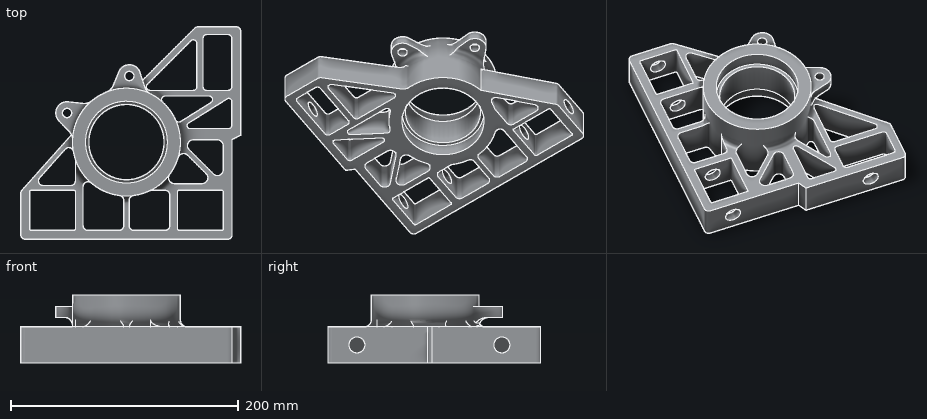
import cadquery as cq
import math

hub_height = 60.0
hub_radius = 47.5
bore_radius = 33.0
seat_radius = 36.0
seat_depth = 14.0

plate_height = 32.0
half_width = 93.0
arm_right = 100.55
base_y = -85.5
total_depth = 187.0
wall = 8.0
outer_corner_radius = 4.0
step_low_y = 2.2
step_high_y = 6.0
left_corner_y = -43.4
left_slope_end = (-46.8, 8.3)
left_slope_wall = 4.5
arm_slope_offset = 40.2
arm_root_radius = 8.0

pocket_radius = 4.0
square_pocket_radius = 1.0
corner_pocket_radius = 5.0
square_length = 40.0
square_depth = 35.0
centre_rib = 5.0
inner_pocket_x = 38.0
left_inner_top_y = -35.0
left_triangle_floor_y = -38.1
right_triangle_floor_y = -36.4
right_triangle_sum = 42.2
corner_rib = 4.5
corner_triangle_top_y = 1.9

arm_pocket_radius = 3.0
fan_tip_radius = 2.5
arm_wall_x = 92.5
arm_floor_y = 45.6
arm_rect_left_x = 67.5
arm_rect_top_y = 94.5
arm_triangle_right_x = 61.8
arm_triangle_offset = 32.3
fan_top_y = 40.4
fan_floor_y = 12.0
fan_tip_x = 47.2
fan_rib_gap = 9.4

web_blend_radius = 6.0
lug_bottom = 40.0
lug_top = 50.0
lug_distance = 58.2
lug_radius = 10.0
lug_hole_radius = 4.0
lug_half_taper = 20.0
lug_flare_radius = 10.0
lug_angles = (87.5, 153.9)

cross_hole_radius = 7.0
cross_hole_z = plate_height / 2
lower_hole_y = -60.0
arm_hole_y = 67.5

arm_top = base_y + total_depth
square_outer_x = half_width - wall
square_inner_x = square_outer_x - square_length
pocket_floor_y = base_y + wall
square_top_y = pocket_floor_y + square_depth
corner_triangle_sum = right_triangle_sum + corner_rib * math.sqrt(2)
mid_plate_z = plate_height / 2


def cylinder(radius, z0, z1):
    return cq.Workplane("XY", origin=(0, 0, z0)).circle(radius).extrude(z1 - z0)


def prism(points):
    return cq.Workplane("XY").polyline(points).close().extrude(plate_height)


def rectangle(x0, y0, x1, y1):
    return [(x0, y0), (x1, y0), (x1, y1), (x0, y1)]


def hub_half_chord(offset):
    """Half length of the hub's chord at the given distance from its axis."""
    return math.sqrt(hub_radius**2 - offset**2)


def round_upright_edge(body, point, radius):
    nearest = cq.NearestToPointSelector((*point, mid_plate_z))
    return body.edges("|Z").edges(nearest).fillet(radius)


def rounded_prism(points, radius):
    return prism(points).edges("|Z").fillet(radius)


def hub_pocket(points, radius, sharp_point=None):
    """Pocket bounded by the hub, with every upright edge rounded except the one at sharp_point."""
    cutter = prism(points).cut(cylinder(hub_radius, 0, hub_height))
    edges = cq.ParallelDirSelector(cq.Vector(0, 0, 1))
    if sharp_point:
        edges = edges - cq.NearestToPointSelector((*sharp_point, mid_plate_z))
    return cutter.edges(edges).fillet(radius)


def solid_frame():
    lower_left = (-half_width, base_y)
    lower_right = (half_width, base_y)
    upper_right = (arm_right, arm_top)
    upper_left = (arm_top - arm_slope_offset, arm_top)
    left_corner = (-half_width, left_corner_y)
    frame = prism([
        lower_left,
        lower_right,
        (half_width, step_low_y),
        (arm_right, step_high_y),
        upper_right,
        upper_left,
        (0, arm_slope_offset),
        left_slope_end,
        left_corner,
    ])
    for corner in (lower_left, lower_right, upper_right, upper_left, left_corner):
        frame = round_upright_edge(frame, corner, outer_corner_radius)

    frame = frame.union(cylinder(hub_radius, 0, plate_height))
    axis_to_face = arm_slope_offset / math.sqrt(2)
    arm_root_x = (hub_half_chord(axis_to_face) - axis_to_face) / math.sqrt(2)
    return round_upright_edge(frame, (arm_root_x, arm_root_x + arm_slope_offset), arm_root_radius)


def square_pockets():
    return [
        rounded_prism(
            rectangle(side * square_inner_x, pocket_floor_y, side * square_outer_x, square_top_y),
            square_pocket_radius,
        )
        for side in (-1, 1)
    ]


def inner_pockets():
    """Pockets on either side of the centre rib."""
    left = hub_pocket(
        rectangle(-inner_pocket_x, pocket_floor_y, -centre_rib / 2, left_inner_top_y),
        pocket_radius,
    )
    right = hub_pocket(
        rectangle(centre_rib / 2, pocket_floor_y, inner_pocket_x, square_top_y),
        pocket_radius,
        (hub_half_chord(square_top_y), square_top_y),
    )
    return [left, right]


def left_triangle_pocket():
    slope = math.atan2(left_slope_end[1] - left_corner_y, left_slope_end[0] + half_width)
    inner_corner_y = left_corner_y - left_slope_wall / math.cos(slope)
    right_x = -square_inner_x
    tip_x = -half_width + (left_triangle_floor_y - inner_corner_y) / math.tan(slope)
    top_y = inner_corner_y + (right_x + half_width) * math.tan(slope)
    return hub_pocket(
        [(tip_x, left_triangle_floor_y), (right_x, left_triangle_floor_y), (right_x, top_y)],
        pocket_radius,
        (right_x, -hub_half_chord(right_x)),
    )


def right_triangle_pockets():
    """Triangles below and above the 45 degree rib in the lower right corner."""
    below = hub_pocket(
        [
            (0, right_triangle_floor_y),
            (right_triangle_sum - right_triangle_floor_y, right_triangle_floor_y),
            (right_triangle_sum, 0),
            (0, 0),
        ],
        corner_pocket_radius,
    )
    above = rounded_prism(
        [
            (corner_triangle_sum - corner_triangle_top_y, corner_triangle_top_y),
            (square_outer_x, corner_triangle_top_y),
            (square_outer_x, corner_triangle_sum - square_outer_x),
        ],
        corner_pocket_radius,
    )
    return [below, above]


def arm_pockets():
    rectangular = rounded_prism(
        rectangle(arm_rect_left_x, arm_floor_y, arm_wall_x, arm_rect_top_y), arm_pocket_radius
    )
    triangle = rounded_prism(
        [
            (arm_floor_y - arm_triangle_offset, arm_floor_y),
            (arm_triangle_right_x, arm_floor_y),
            (arm_triangle_right_x, arm_triangle_right_x + arm_triangle_offset),
        ],
        arm_pocket_radius,
    )
    return [rectangular, triangle]


def fan_pockets():
    """Pockets below and above the slanted fan rib."""
    below = rounded_prism(
        [(fan_tip_x, fan_floor_y), (arm_wall_x, fan_floor_y), (arm_wall_x, fan_top_y)], fan_tip_radius
    )
    above = hub_pocket(
        [
            (0, fan_top_y),
            (0, fan_floor_y),
            (fan_tip_x - fan_rib_gap, fan_floor_y),
            (arm_wall_x - fan_rib_gap, fan_top_y),
        ],
        arm_pocket_radius,
    )
    return [below, above]


def concave_ring(radius, wide_z, narrow_z):
    """Ring around the bore whose quarter-round concave side narrows down to the hub radius."""
    bend = radius * (1 - math.sqrt(0.5))
    bend_z = wide_z + (narrow_z - wide_z) / radius * bend
    return (
        cq.Workplane("XZ")
        .moveTo(bore_radius, wide_z)
        .lineTo(hub_radius + radius, wide_z)
        .threePointArc((hub_radius + bend, bend_z), (hub_radius, narrow_z))
        .lineTo(bore_radius, narrow_z)
        .close()
        .revolve(360, (0, 0), (0, 1))
    )


def web_blends(frame):
    """Blends standing on the ribs around the hub; the left slanted wall meets the hub without one."""
    ring = concave_ring(web_blend_radius, plate_height, plate_height + web_blend_radius)
    blends = ring.intersect(frame.translate((0, 0, plate_height)))
    triangle_hub_y = -hub_half_chord(square_inner_x)
    plain_zone = (
        cq.Workplane("XY", origin=(0, 0, plate_height))
        .polyline(rectangle(-half_width, triangle_hub_y, -hub_radius / 2, arm_slope_offset))
        .close()
        .extrude(plate_height)
    )
    return blends.cut(plain_zone)


def lug(angle):
    """Tapered ear flaring into the hub, with a concave underside below it."""
    taper = math.radians(lug_half_taper)
    tangent_x = lug_distance + lug_radius * math.sin(taper)
    tangent_y = lug_radius * math.cos(taper)
    root_y = tangent_y + tangent_x * math.tan(taper)
    ear = (
        cq.Workplane("XY", origin=(0, 0, plate_height))
        .moveTo(0, -root_y)
        .lineTo(tangent_x, -tangent_y)
        .threePointArc((lug_distance + lug_radius, 0), (tangent_x, tangent_y))
        .lineTo(0, root_y)
        .close()
        .extrude(lug_top - plate_height)
    )
    body = ear.union(cylinder(hub_radius, plate_height, lug_top))

    side_distance = root_y * math.cos(taper)
    root_angle = math.asin(side_distance / hub_radius) - taper
    root_x = hub_radius * math.cos(root_angle)
    for side in (-1, 1):
        root_point = (root_x, side * hub_radius * math.sin(root_angle), (plate_height + lug_top) / 2)
        nearest = cq.NearestToPointSelector(root_point)
        body = body.edges("|Z").edges(nearest).fillet(lug_flare_radius)

    underside = concave_ring(lug_bottom - plate_height, lug_bottom, plate_height)
    envelope = underside.union(cylinder(2 * lug_distance, lug_bottom, lug_top))
    hole = cylinder(lug_hole_radius, plate_height, lug_top).translate((lug_distance, 0, 0))
    return body.intersect(envelope).cut(hole).rotate((0, 0, 0), (0, 0, 1), angle)


def cross_hole(x0, x1, y):
    return cq.Workplane("YZ", origin=(x0, y, cross_hole_z)).circle(cross_hole_radius).extrude(x1 - x0)


def cross_holes():
    """Holes through the walls of the lower pockets, stopping short of the centre rib, and of the arm."""
    stop_x = inner_pocket_x / 2
    return [
        cross_hole(-half_width, -stop_x, lower_hole_y),
        cross_hole(stop_x, half_width, lower_hole_y),
        cross_hole((arm_rect_left_x + arm_wall_x) / 2, arm_right, arm_hole_y),
    ]


pockets = square_pockets() + inner_pockets() + [left_triangle_pocket()]
pockets += right_triangle_pockets() + arm_pockets() + fan_pockets()

frame = solid_frame()
for cutter in pockets:
    frame = frame.cut(cutter)

result = frame.union(web_blends(frame)).union(cylinder(hub_radius, 0, hub_height))
for lug_angle in lug_angles:
    result = result.union(lug(lug_angle))

result = result.cut(cylinder(bore_radius, 0, hub_height))
for seat_bottom in (0, hub_height - seat_depth):
    result = result.cut(cylinder(seat_radius, seat_bottom, seat_bottom + seat_depth))
for hole in cross_holes():
    result = result.cut(hole)